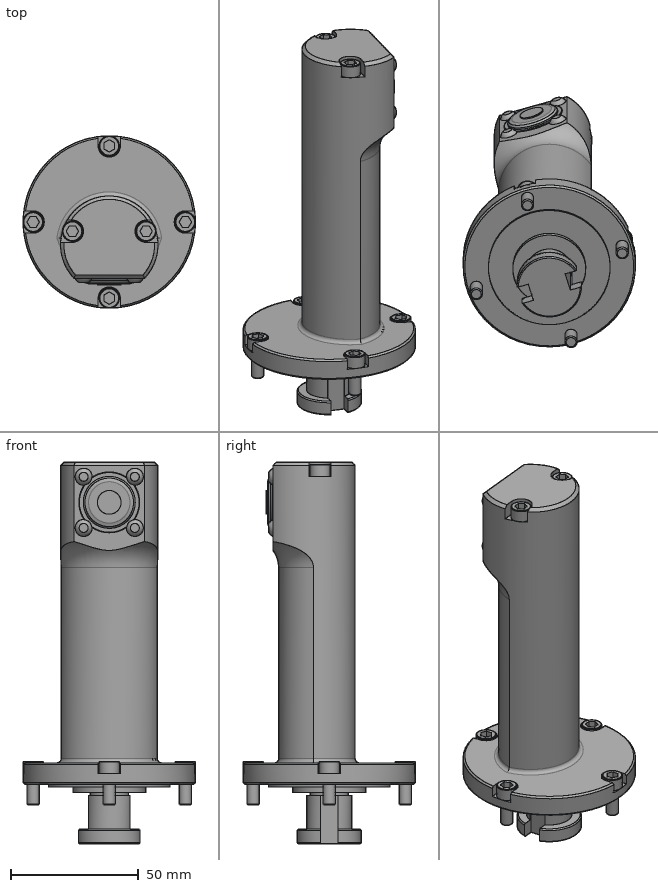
import cadquery as cq
import math

TOTAL_HEIGHT = 149.35
DISK_TOP = 5.8
SHAFT_TOP = 19.0
BOSS_BOTTOM = 20.1
STEP_BOTTOM = 22.2
FLANGE_BOTTOM = 23.3
FLANGE_TOP = 31.75
FLARE_START = 108.1
BUTTON_HEIGHT = 133.6

FLANGE_DIAMETER = 67.44
FLANGE_CHAMFER = 0.7
STEP_DIAMETER = 47.62
BOSS_DIAMETER = 28.57

NECK_DIAMETER = 15.06
SHAFT_DIAMETER = 17.8
DISK_DIAMETER = 25.2
DISK_CHAMFER = 0.5
SLOT_WIDTH = 7.0
SLOT_FLOOR = NECK_DIAMETER / 2

COLUMN_RADIUS = 19.05
COLUMN_CENTER_Y = -8.86
TRIM_RADIUS = 19.84
FLARE_RADIUS = 11.5
FOOT_FILLET = 1.6
FACE_Y = -22.0
TOP_CHAMFER = 1.3

CAP_HEAD_DIAMETER = 7.92
CAP_HEAD_HEIGHT = 4.83
CAP_SHANK_DIAMETER = 4.83
CAP_SHANK_CHAMFER = 0.5
CAP_HEAD_CHAMFER = 0.3
CAP_SOCKET_CORNERS = 4.83
CAP_SOCKET_DEPTH = 2.4
CAP_POCKET_DIAMETER = 8.7
FLANGE_SCREW_RADIUS = (FLANGE_DIAMETER - CAP_HEAD_DIAMETER) / 2
FLANGE_POCKET_FLOOR = 27.5
SHANK_BOTTOM = 15.2
TOP_SCREW_X = 14.4
TOP_SCREW_Y = -3.6
TOP_POCKET_FLOOR = TOTAL_HEIGHT - 5.7

PAD_DIAMETER = 23.8
PAD_RISE = 0.3
PAD_CHAMFER = 0.2
BUTTON_DIAMETER = 20.34
BUTTON_BASE_RISE = 0.95
BUTTON_SHOULDER_DIAMETER = 19.0
BUTTON_SHOULDER_RISE = 1.75
BUTTON_TOP_DIAMETER = 16.2
BUTTON_TOP_RISE = 2.15
BUTTON_CAP_DIAMETER = 9.27
BUTTON_CAP_RISE = 2.65
FACE_SCREW_OFFSET = 10.0
FACE_SCREW_DIAMETER = 6.66
FACE_SCREW_RISE = 1.7
FACE_SCREW_TOP_DIAMETER = 3.5


def cylinder(diameter, bottom, top, x=0.0, y=0.0):
    """Upright cylinder between two heights."""
    return cq.Workplane("XY", origin=(x, y, bottom)).circle(diameter / 2).extrude(top - bottom)


def make_flange():
    """Chamfered flange disc with the two round steps below it."""
    flange = cylinder(FLANGE_DIAMETER, FLANGE_BOTTOM, FLANGE_TOP).edges().chamfer(FLANGE_CHAMFER)
    step = cylinder(STEP_DIAMETER, STEP_BOTTOM, FLANGE_BOTTOM)
    boss = cylinder(BOSS_DIAMETER, BOSS_BOTTOM, FLANGE_BOTTOM)
    return flange.union(step).union(boss)


def make_drive_shaft():
    """Neck, shaft and end disk, with a slot in each X side."""
    disk = cylinder(DISK_DIAMETER, 0, DISK_TOP).edges().chamfer(DISK_CHAMFER)
    shaft = disk.union(cylinder(SHAFT_DIAMETER, 0, SHAFT_TOP))
    slot_length = DISK_DIAMETER / 2 - SLOT_FLOOR
    for side in (-1, 1):
        slot = cq.Workplane("XY").center(side * (SLOT_FLOOR + slot_length / 2), 0)
        shaft = shaft.cut(slot.rect(slot_length, SLOT_WIDTH).extrude(SHAFT_TOP))
    return shaft.union(cylinder(NECK_DIAMETER, SHAFT_TOP, BOSS_BOTTOM))


def quarter_arc_middle(center_r, center_z, radius, side_r, side_z):
    """Middle point of a quarter arc, on the given diagonal side of its centre."""
    reach = radius * math.sqrt(0.5)
    return (center_r + side_r * reach, center_z + side_z * reach)


def start_footed_profile(radius):
    """Radial profile rising from the flange through the foot fillet to the column radius."""
    foot_r = radius + FOOT_FILLET
    foot_z = FLANGE_TOP + FOOT_FILLET
    middle = quarter_arc_middle(foot_r, foot_z, FOOT_FILLET, -1, -1)
    profile = cq.Workplane("XZ").moveTo(0, FLANGE_TOP).lineTo(foot_r, FLANGE_TOP)
    return profile.threePointArc(middle, (radius, foot_z))


def revolve_profile(profile):
    """Close a radial profile along the axis and turn it about Z."""
    return profile.lineTo(0, TOTAL_HEIGHT).close().revolve(360, (0, 0, 0), (0, 1, 0))


def make_column():
    """Column and head: the overlap of two footed round columns, with a flat front face."""
    back = start_footed_profile(COLUMN_RADIUS).lineTo(COLUMN_RADIUS, TOTAL_HEIGHT)
    back = revolve_profile(back).translate((0, COLUMN_CENTER_Y, 0))
    front_size = 3 * COLUMN_RADIUS
    front = cq.Workplane("XY").box(front_size, front_size, TOTAL_HEIGHT, centered=(True, False, False))
    back = back.cut(front.translate((0, FACE_Y - front_size, 0)))
    back = back.faces(">Z").edges().chamfer(TOP_CHAMFER)

    flare_r = TRIM_RADIUS + FLARE_RADIUS
    flare_top = FLARE_START + FLARE_RADIUS
    flare_middle = quarter_arc_middle(flare_r, FLARE_START, FLARE_RADIUS, -1, 1)
    trim = start_footed_profile(TRIM_RADIUS).lineTo(TRIM_RADIUS, FLARE_START)
    trim = trim.threePointArc(flare_middle, (flare_r, flare_top)).lineTo(flare_r, TOTAL_HEIGHT)
    return back.intersect(revolve_profile(trim))


def make_pocket(floor, top):
    """Screw pocket around the Z axis, open toward +X."""
    pocket = cylinder(CAP_POCKET_DIAMETER, floor, top)
    opening = cq.Workplane("XY", origin=(0, 0, floor)).box(
        CAP_POCKET_DIAMETER, CAP_POCKET_DIAMETER, top - floor, centered=(False, True, False)
    )
    return pocket.union(opening)


def make_cap_head(floor):
    """Cap screw head on the Z axis with a hexagon socket."""
    head = cylinder(CAP_HEAD_DIAMETER, floor, floor + CAP_HEAD_HEIGHT)
    head = head.faces(">Z").edges().chamfer(CAP_HEAD_CHAMFER)
    return head.faces(">Z").workplane().polygon(6, CAP_SOCKET_CORNERS).cutBlind(-CAP_SOCKET_DEPTH)


def add_flange_screws(body):
    """Four cap screws in pockets open at the flange rim, shanks below the flange."""
    shank = cylinder(CAP_SHANK_DIAMETER, SHANK_BOTTOM, FLANGE_POCKET_FLOOR)
    shank = shank.faces("<Z").edges().chamfer(CAP_SHANK_CHAMFER)
    screw = make_cap_head(FLANGE_POCKET_FLOOR).union(shank)
    pocket = make_pocket(FLANGE_POCKET_FLOOR, FLANGE_TOP)
    for angle in (0, 90, 180, 270):
        turn = cq.Location(cq.Vector(0, 0, 0), cq.Vector(0, 0, 1), angle)
        place = turn * cq.Location(cq.Vector(FLANGE_SCREW_RADIUS, 0, 0))
        body = body.cut(cq.Workplane(pocket.val().moved(place)))
        body = body.union(cq.Workplane(screw.val().moved(place)))
    return body


def add_top_screws(body):
    """Two cap screws in pockets open at the sides of the head."""
    screw = make_cap_head(TOP_POCKET_FLOOR)
    pocket = make_pocket(TOP_POCKET_FLOOR, TOTAL_HEIGHT)
    for side, angle in ((1, 0), (-1, 180)):
        place = cq.Location(cq.Vector(side * TOP_SCREW_X, TOP_SCREW_Y, 0), cq.Vector(0, 0, 1), angle)
        body = body.cut(cq.Workplane(pocket.val().moved(place)))
        body = body.union(cq.Workplane(screw.val().moved(place)))
    return body


def add_button(body):
    """Button with a two-step conical edge and a raised cap, standing on a thin round pad."""
    pad = cq.Workplane("XZ", origin=(0, FACE_Y, BUTTON_HEIGHT)).circle(PAD_DIAMETER / 2).extrude(PAD_RISE)
    pad = pad.faces("<Y").edges().chamfer(PAD_CHAMFER)
    button = (
        cq.Workplane("XY")
        .lineTo(BUTTON_DIAMETER / 2, 0)
        .lineTo(BUTTON_DIAMETER / 2, -BUTTON_BASE_RISE)
        .lineTo(BUTTON_SHOULDER_DIAMETER / 2, -BUTTON_SHOULDER_RISE)
        .lineTo(BUTTON_TOP_DIAMETER / 2, -BUTTON_TOP_RISE)
        .lineTo(BUTTON_CAP_DIAMETER / 2, -BUTTON_TOP_RISE)
        .lineTo(BUTTON_CAP_DIAMETER / 2, -BUTTON_CAP_RISE)
        .lineTo(0, -BUTTON_CAP_RISE)
        .close()
        .revolve(360, (0, 0, 0), (0, 1, 0))
    )
    return body.union(pad).union(button.translate((0, FACE_Y, BUTTON_HEIGHT)))


def add_face_screws(body):
    """Four round-headed screws with flat tops around the button."""
    base_r = FACE_SCREW_DIAMETER / 2
    top_r = FACE_SCREW_TOP_DIAMETER / 2
    center_y = (base_r**2 - top_r**2 - FACE_SCREW_RISE**2) / (2 * FACE_SCREW_RISE)
    dome_r = math.hypot(base_r, center_y)
    middle_r = (base_r + top_r) / 2
    middle_y = center_y - math.sqrt(dome_r**2 - middle_r**2)
    head = (
        cq.Workplane("XY")
        .lineTo(base_r, 0)
        .threePointArc((middle_r, middle_y), (top_r, -FACE_SCREW_RISE))
        .lineTo(0, -FACE_SCREW_RISE)
        .close()
        .revolve(360, (0, 0, 0), (0, 1, 0))
    )
    for x in (-FACE_SCREW_OFFSET, FACE_SCREW_OFFSET):
        for z in (-FACE_SCREW_OFFSET, FACE_SCREW_OFFSET):
            body = body.union(head.translate((x, FACE_Y, BUTTON_HEIGHT + z)))
    return body


body = make_flange().union(make_column())
body = body.union(make_drive_shaft())
body = add_flange_screws(body)
body = add_top_screws(body)
body = add_button(body)
result = add_face_screws(body)